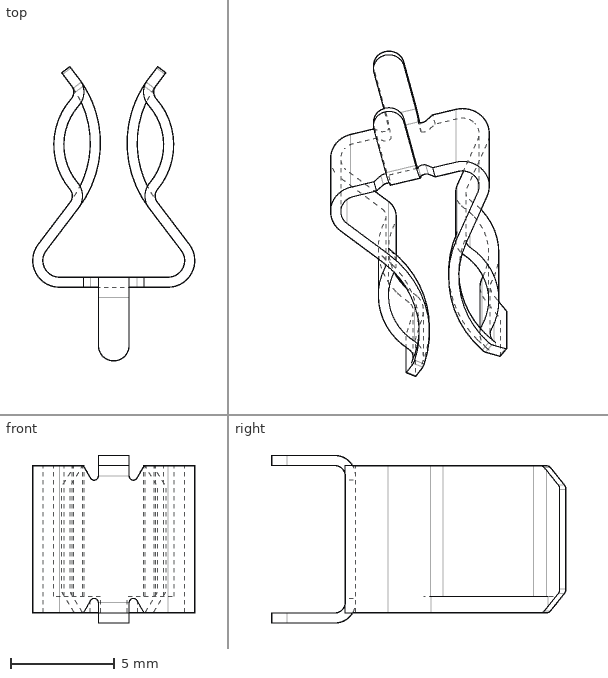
import cadquery as cq
import math

SHEET = 0.5
HEIGHT = 7.12
WIDTH = 7.84

LEAN = 37.2
CORNER_RADIUS = 1.3
BEND_RADIUS = 0.5
GRIP_RADIUS = 3.36
GRIP_WIDTH = 5.8
GRIP_Y = 6.89
GRIP_END = 41.4
LIP_TOP = 10.67

LIP_CUT = 1.02
LIP_ROUND = 0.3

STOP_HEIGHT = 0.78
STOP_GAP = 1.28

LEG_WIDTH = 1.5
LEG_REACH = 3.56
LEG_BEND = 0.5
NOTCH_RADIUS = 0.2
NOTCH_DEPTH = 0.7
NOTCH_LEAN = 30.0

INSIDE = -1
OUTSIDE = 1
TOUCH_GAP = 1.42e-07


def polar(centre, radius, angle):
    """Point at a radius and an angle in degrees around a centre."""
    turn = math.radians(angle)
    return (centre[0] + radius * math.cos(turn), centre[1] + radius * math.sin(turn))


def trace_bends(profile, last_point, bends, inset):
    """Continue an outline along one sheet face, with straight runs between separate bends."""
    for centre, outer_radius, side, start, end in bends:
        radius = outer_radius + side * inset
        start_point = polar(centre, radius, start)
        if math.dist(last_point, start_point) > TOUCH_GAP:
            profile = profile.lineTo(*start_point)
        last_point = polar(centre, radius, end)
        profile = profile.threePointArc(polar(centre, radius, (start + end) / 2), last_point)
    return profile


def strip_half(bends, lip_outer, lip_inner, bottom, top):
    """Right half of the bent strip between two Z levels."""
    reversed_bends = [
        (centre, radius, side, end, start)
        for centre, radius, side, start, end in reversed(bends)
    ]
    profile = cq.Workplane("XY", origin=(0, 0, bottom)).moveTo(0, 0)
    profile = trace_bends(profile, (0, 0), bends, 0)
    profile = profile.lineTo(*lip_outer).lineTo(*lip_inner)
    profile = trace_bends(profile, lip_inner, reversed_bends, SHEET)
    return profile.lineTo(0, SHEET).close().extrude(top - bottom)


lean_cos = math.cos(math.radians(LEAN))
lean_sin = math.sin(math.radians(LEAN))
corner_centre = (WIDTH / 2 - CORNER_RADIUS, CORNER_RADIUS)
grip_centre = (GRIP_WIDTH / 2 - GRIP_RADIUS, GRIP_Y)
bend_reach = GRIP_RADIUS + BEND_RADIUS

slide_start = polar(corner_centre, CORNER_RADIUS + BEND_RADIUS, LEAN)
to_grip = (grip_centre[0] - slide_start[0], grip_centre[1] - slide_start[1])
along_wall = to_grip[1] * lean_cos - to_grip[0] * lean_sin
across_wall = to_grip[0] * lean_cos + to_grip[1] * lean_sin
slide = along_wall - math.sqrt(bend_reach**2 - across_wall**2)
neck_centre = polar(slide_start, slide, 90 + LEAN)
grip_start = math.degrees(math.asin((neck_centre[1] - GRIP_Y) / bend_reach))

lip_centre = polar(grip_centre, bend_reach, GRIP_END)
lip_foot = polar(lip_centre, BEND_RADIUS + SHEET, 180 - LEAN)
lip_length = (LIP_TOP - lip_foot[1]) / lean_cos
lip_inner = polar(lip_foot, lip_length, 90 - LEAN)
lip_outer = polar(lip_inner, SHEET, -LEAN)

wall_offset = corner_centre[0] * lean_cos + corner_centre[1] * lean_sin + CORNER_RADIUS
lip_offset = lip_outer[0] * lean_cos - lip_outer[1] * lean_sin
stop_x = STOP_GAP / 2 + SHEET
stop_y = (wall_offset - lip_offset) / (2 * lean_sin)
stop_radius = (stop_x * lean_cos + stop_y * lean_sin - wall_offset) / (1 - lean_cos)
stop_centre = (stop_x + stop_radius, stop_y)

corner_bend = (corner_centre, CORNER_RADIUS, INSIDE, -90, LEAN)
neck_bend = (neck_centre, BEND_RADIUS, OUTSIDE, 180 + LEAN, 180 + grip_start)
grip_bend = (grip_centre, GRIP_RADIUS, INSIDE, grip_start, GRIP_END)
lip_bend = (lip_centre, BEND_RADIUS, OUTSIDE, 180 + GRIP_END, 180 - LEAN)
stop_bend = (stop_centre, stop_radius, OUTSIDE, 180 + LEAN, 180 - LEAN)


def lip_corner():
    """Waste at the upper corner of the right lip: a 45 degree cut, rounded at both ends."""
    round_tangent = LIP_ROUND * math.tan(math.radians(22.5))
    rounded_end = LIP_CUT + round_tangent
    slant_shift = round_tangent * math.sqrt(0.5)
    overshoot = SHEET
    lip_plane = cq.Plane(
        origin=(lip_inner[0], lip_inner[1], HEIGHT),
        xDir=(lean_sin, lean_cos, 0),
        normal=(lean_cos, -lean_sin, 0),
    )
    return (
        cq.Workplane(lip_plane)
        .moveTo(0, -rounded_end)
        .threePointArc(
            polar((-LIP_ROUND, -rounded_end), LIP_ROUND, 22.5),
            (-slant_shift, -LIP_CUT + slant_shift),
        )
        .lineTo(-LIP_CUT + slant_shift, -slant_shift)
        .threePointArc(polar((-rounded_end, -LIP_ROUND), LIP_ROUND, 67.5), (-rounded_end, 0))
        .lineTo(-rounded_end, overshoot)
        .lineTo(0, overshoot)
        .close()
        .extrude(4 * SHEET, both=True)
    )


def notch():
    """Relief notch through the top edge of the base, right of the leg."""
    centre = (LEG_WIDTH / 2 + NOTCH_RADIUS, HEIGHT - NOTCH_DEPTH + NOTCH_RADIUS)
    side_foot = polar(centre, NOTCH_RADIUS, -NOTCH_LEAN)
    side_run = (HEIGHT - side_foot[1]) * math.tan(math.radians(NOTCH_LEAN))
    return (
        cq.Workplane("XZ")
        .moveTo(LEG_WIDTH / 2, HEIGHT)
        .lineTo(LEG_WIDTH / 2, centre[1])
        .threePointArc(polar(centre, NOTCH_RADIUS, -90), side_foot)
        .lineTo(side_foot[0] + side_run, HEIGHT)
        .close()
        .extrude(-SHEET)
    )


def leg_root():
    """Piece of the base that is bent out to become the upper leg."""
    return (
        cq.Workplane("XY", origin=(0, 0, HEIGHT - LEG_BEND))
        .box(LEG_WIDTH, SHEET, LEG_BEND, centered=(True, False, False))
    )


def leg():
    """Upper leg: a quarter bend out of the base, then a flat tongue with a round tip."""
    bend_centre = (-LEG_BEND, HEIGHT - LEG_BEND)
    outer_radius = LEG_BEND + SHEET
    tip_y = LEG_WIDTH / 2 - LEG_REACH
    bend = (
        cq.Workplane("YZ")
        .moveTo(0, bend_centre[1])
        .threePointArc(polar(bend_centre, LEG_BEND, 45), (-LEG_BEND, HEIGHT))
        .lineTo(-LEG_BEND, HEIGHT + SHEET)
        .threePointArc(polar(bend_centre, outer_radius, 45), (SHEET, bend_centre[1]))
        .close()
        .extrude(LEG_WIDTH / 2, both=True)
    )
    tongue = (
        cq.Workplane("XY", origin=(0, 0, HEIGHT))
        .moveTo(-LEG_WIDTH / 2, -LEG_BEND)
        .lineTo(-LEG_WIDTH / 2, tip_y)
        .threePointArc((0, -LEG_REACH), (LEG_WIDTH / 2, tip_y))
        .lineTo(LEG_WIDTH / 2, -LEG_BEND)
        .close()
        .extrude(SHEET)
    )
    return bend.union(tongue)


def with_lower_copy(shape):
    """The shape together with its mirror image about mid height."""
    return shape.union(shape.mirror("XY", (0, 0, HEIGHT / 2)))


grip_strip = strip_half(
    [corner_bend, neck_bend, grip_bend, lip_bend], lip_outer, lip_inner, STOP_HEIGHT, HEIGHT
)
stop_strip = strip_half([corner_bend, stop_bend], lip_outer, lip_inner, 0, STOP_HEIGHT)
half = grip_strip.union(stop_strip).cut(with_lower_copy(lip_corner()))
strip = half.union(half.mirror("YZ"))

notches = notch().union(notch().mirror("YZ"))
relief = with_lower_copy(notches.union(leg_root()))
result = strip.cut(relief).union(with_lower_copy(leg()))